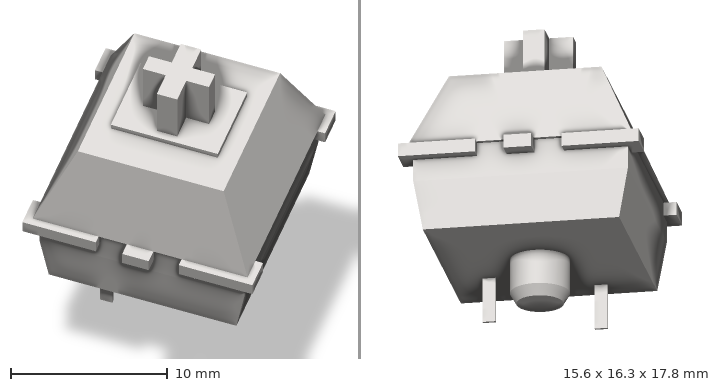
import cadquery as cq


body_side = 13.94
lower_height = 5.6
straight_height = 2.32
floor_length_x = 12.75
floor_length_y = 13.67

flange_thickness = 0.87
flange_side = 15.64
corner_tab_x = 5.0
corner_tab_y = 2.0
middle_tab_width = 1.8
middle_tab_span = 16.33

post_diameter = 3.85
post_length = 2.96
post_tip_height = 0.7
post_tip_diameter = 3.03

upper_height = 5.32
upper_base_side = 14.6
upper_top_x = 9.9
upper_top_y = 10.6

shoulder_x = 7.26
shoulder_y = 5.53
shoulder_thickness = 0.35
cross_span = 4.5
cross_height = 3.6
x_arm_thickness = 1.15
y_arm_thickness = 1.4

pin_width = 0.84
pin_thickness = 0.21
pin_centers = [(-3.03, -5.2), (3.78, -2.73)]

floor_z = -lower_height
taper_top_z = -straight_height
shoulder_top_z = upper_height + shoulder_thickness


def block(length_x, length_y, bottom_z, height):
    """Rectangular block centred on the Z axis."""
    return cq.Workplane("XY").workplane(offset=bottom_z).rect(length_x, length_y).extrude(height)


def tapered_block(bottom_x, bottom_y, top_x, top_y, bottom_z, height):
    """Straight-sided loft between two centred rectangles."""
    return (
        cq.Workplane("XY")
        .workplane(offset=bottom_z)
        .rect(bottom_x, bottom_y)
        .workplane(offset=height)
        .rect(top_x, top_y)
        .loft(ruled=True, combine=True)
    )


def make_flange_tabs():
    """Four corner tabs, and one middle bar whose two ends stick out along Y."""
    corner_x = (flange_side - corner_tab_x) / 2
    corner_y = (flange_side - corner_tab_y) / 2
    corners = (
        cq.Workplane("XY")
        .workplane(offset=-flange_thickness)
        .rect(2 * corner_x, 2 * corner_y, forConstruction=True)
        .vertices()
        .rect(corner_tab_x, corner_tab_y)
        .extrude(flange_thickness)
    )
    middle = block(middle_tab_width, middle_tab_span, -flange_thickness, flange_thickness)
    return corners.union(middle)


def make_post():
    """Round locating post with a conical tip."""
    tip_inset = (post_diameter - post_tip_diameter) / 2
    return (
        cq.Workplane("XY")
        .workplane(offset=floor_z - post_length)
        .circle(post_diameter / 2)
        .extrude(post_length)
        .faces("<Z")
        .chamfer(post_tip_height, tip_inset)
    )


def make_lower_housing():
    """Straight walls over a tapered base, with flange tabs and the locating post."""
    walls = block(body_side, body_side, taper_top_z, straight_height)
    base = tapered_block(
        floor_length_x, floor_length_y, body_side, body_side, floor_z, lower_height - straight_height
    )
    return walls.union(base).union(make_flange_tabs()).union(make_post())


def make_upper_housing():
    """Truncated pyramid standing on the parting plane."""
    return tapered_block(upper_base_side, upper_base_side, upper_top_x, upper_top_y, 0, upper_height)


def make_stem():
    """Cross on a rectangular shoulder, resting on the upper housing."""
    shoulder = block(shoulder_x, shoulder_y, upper_height, shoulder_thickness)
    x_arm = block(cross_span, x_arm_thickness, shoulder_top_z, cross_height)
    y_arm = block(y_arm_thickness, cross_span, shoulder_top_z, cross_height)
    return shoulder.union(x_arm).union(y_arm)


def make_pin(center_x, center_y):
    """Flat contact blade hanging from the floor of the lower housing."""
    return block(pin_width, pin_thickness, floor_z - post_length, post_length).translate(
        (center_x, center_y, 0)
    )


lower_housing = make_lower_housing()
upper_housing = make_upper_housing()
stem = make_stem()
pins = [make_pin(center_x, center_y) for center_x, center_y in pin_centers]

result = cq.Compound.makeCompound(
    [lower_housing.val(), upper_housing.val(), stem.val(), *[pin.val() for pin in pins]]
)